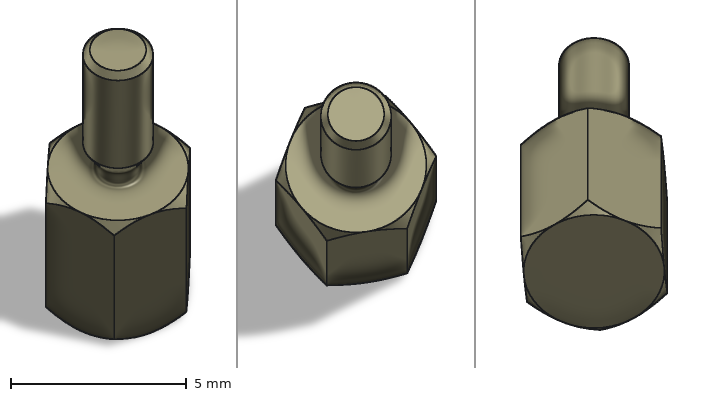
import cadquery as cq
import math

across_flats = 4
body_height = 5
corner_chamfer_angle = 45

total_height = 10
stud_radius = 1
tip_chamfer = 0.2

neck_radius = 0.66
undercut_height = 1.1
undercut_cone_angle = 30
undercut_fillet = 0.2

flat_radius = across_flats / 2
corner_radius = flat_radius / math.cos(math.radians(30))


def hex_body():
    """Hexagonal prism with its corners turned down to a cone at both ends."""
    prism = cq.Workplane("XY").polygon(6, 2 * corner_radius).extrude(body_height)
    chamfer_height = (corner_radius - flat_radius) * math.tan(math.radians(corner_chamfer_angle))
    turned_blank = (
        cq.Workplane("XZ")
        .lineTo(flat_radius, 0)
        .lineTo(corner_radius, chamfer_height)
        .lineTo(corner_radius, body_height - chamfer_height)
        .lineTo(flat_radius, body_height)
        .lineTo(0, body_height)
        .close()
        .revolve(360, (0, 0), (0, 1))
    )
    return prism.intersect(turned_blank)


def stud():
    """Stud with a chamfered tip and a filleted undercut above the body."""
    cone_angle = math.radians(undercut_cone_angle)
    cone_start = body_height + undercut_height - (stud_radius - neck_radius) / math.tan(cone_angle)
    tangent_length = undercut_fillet * math.tan(cone_angle / 2)
    fillet_start = cone_start - tangent_length
    fillet_end_radius = neck_radius + tangent_length * math.sin(cone_angle)
    fillet_end = cone_start + tangent_length * math.cos(cone_angle)

    return (
        cq.Workplane("XZ")
        .moveTo(0, body_height)
        .lineTo(neck_radius + undercut_fillet, body_height)
        .radiusArc((neck_radius, body_height + undercut_fillet), undercut_fillet)
        .lineTo(neck_radius, fillet_start)
        .radiusArc((fillet_end_radius, fillet_end), undercut_fillet)
        .lineTo(stud_radius, body_height + undercut_height)
        .lineTo(stud_radius, total_height - tip_chamfer)
        .lineTo(stud_radius - tip_chamfer, total_height)
        .lineTo(0, total_height)
        .close()
        .revolve(360, (0, 0), (0, 1))
    )


result = hex_body().union(stud())